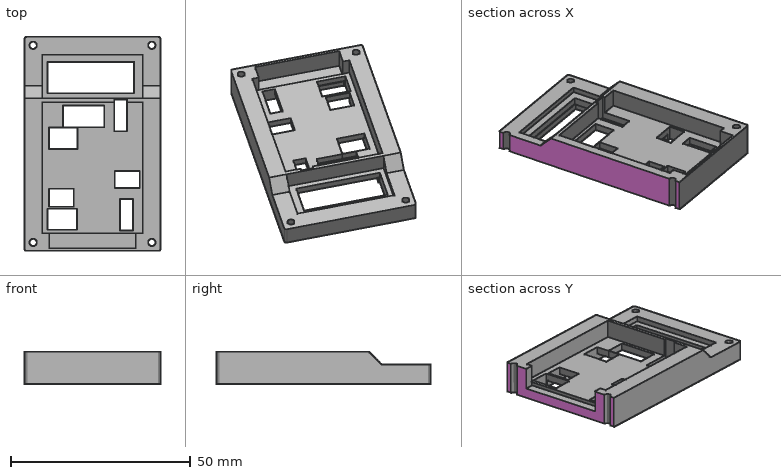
import cadquery as cq

WIDTH = 37.95
LENGTH = 59.8
HEIGHT = 9.0
CORNER_RADIUS = 0.6

LOW_HEIGHT = 5.5
SLOPE_TOP_Y = 12.75
SLOPE_RUN = 3.45

FLOOR_Z = 4.0
POCKET_HALF_WIDTH = 14.0
MAIN_FRONT_Y = -25.0
DIVIDER_THICKNESS = 1.1
MAIN_BACK_Y = SLOPE_TOP_Y - DIVIDER_THICKNESS
DISPLAY_BACK_Y = 24.85

FRONT_RECESS_HALF_WIDTH = 12.15
FRONT_RECESS_Y = -29.1
FRONT_RECESS_Z = 3.0

UNDER_DEPTH = 2.0
UNDER_HALF_WIDTH = 12.15
UNDER_FRONT_Y = -24.15
UNDER_BACK_Y = 22.95

HOLE_DIAMETER = 2.0
HOLE_X = 16.55
HOLE_Y = 27.5

WINDOWS = [
    (-12.55, 11.55, 14.15, 22.85),
    (-8.2, 3.2, 4.65, 10.65),
    (-12.15, -4.25, -1.45, 4.55),
    (6.1, 9.6, 3.6, 12.3),
    (6.3, 13.15, -12.3, -7.6),
    (-12.15, -5.25, -17.5, -12.55),
    (-12.55, -4.35, -23.9, -18.1),
    (7.7, 11.3, UNDER_FRONT_Y, -15.4),
]


def block(left, right, front, back, bottom, top):
    """Box given by its limits along X, Y and Z."""
    return cq.Workplane("XY").box(
        right - left, back - front, top - bottom, centered=False
    ).translate((left, front, bottom))


def stepped_body():
    """Solid stepped profile with rounded vertical corners."""
    profile = [
        (-LENGTH / 2, 0),
        (LENGTH / 2, 0),
        (LENGTH / 2, LOW_HEIGHT),
        (SLOPE_TOP_Y + SLOPE_RUN, LOW_HEIGHT),
        (SLOPE_TOP_Y, HEIGHT),
        (-LENGTH / 2, HEIGHT),
    ]
    body = cq.Workplane("YZ").polyline(profile).close().extrude(WIDTH / 2, both=True)
    return body.edges("|Z").fillet(CORNER_RADIUS)


def centred_pocket(half_width, front, back, bottom, top):
    """Pocket cutter centred on X = 0."""
    return block(-half_width, half_width, front, back, bottom, top)


result = stepped_body()

result = result.cut(centred_pocket(POCKET_HALF_WIDTH, SLOPE_TOP_Y, DISPLAY_BACK_Y, FLOOR_Z, HEIGHT))
result = result.cut(centred_pocket(POCKET_HALF_WIDTH, MAIN_FRONT_Y, MAIN_BACK_Y, FLOOR_Z, HEIGHT))
result = result.cut(
    centred_pocket(FRONT_RECESS_HALF_WIDTH, FRONT_RECESS_Y, MAIN_FRONT_Y, FRONT_RECESS_Z, HEIGHT)
)
result = result.cut(centred_pocket(UNDER_HALF_WIDTH, UNDER_FRONT_Y, UNDER_BACK_Y, 0, UNDER_DEPTH))

for left, right, front, back in WINDOWS:
    result = result.cut(block(left, right, front, back, 0, HEIGHT))

screw_holes = (
    cq.Workplane("XY")
    .rect(2 * HOLE_X, 2 * HOLE_Y, forConstruction=True)
    .vertices()
    .circle(HOLE_DIAMETER / 2)
    .extrude(HEIGHT)
)
result = result.cut(screw_holes)